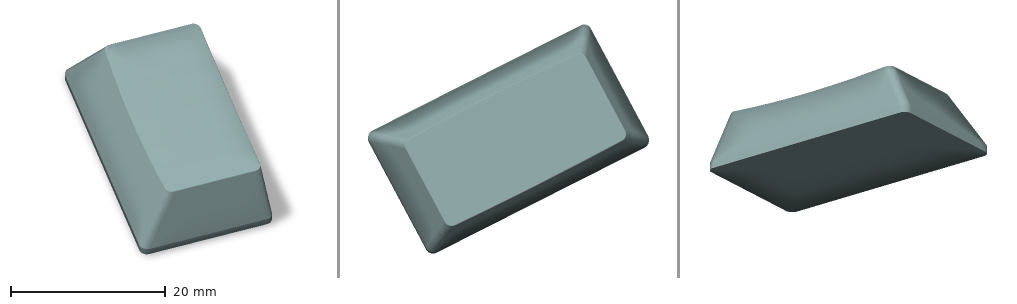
import cadquery as cq
import math

LENGTH = 32.29
WIDTH = 18.0
RIM_HEIGHT = 7.5

SKIRT_HEIGHT = 1.0
CORNER_RADIUS = 1.0

RIM_RADIUS = 0.1

SIDE_LEAN = 25.0
FRONT_LEAN = 35.0
BACK_LEAN = 5.0

DISH_RADIUS = 150.0

SIDE_SLOPE = math.tan(math.radians(SIDE_LEAN))
FRONT_SLOPE = math.tan(math.radians(FRONT_LEAN))
BACK_SLOPE = math.tan(math.radians(BACK_LEAN))


def wall_length(z):
    """X size of the sloping walls at height z."""
    return LENGTH - 2 * SIDE_SLOPE * (z - SKIRT_HEIGHT)


def wall_width(z):
    """Y size of the sloping walls at height z."""
    return WIDTH - (FRONT_SLOPE + BACK_SLOPE) * (z - SKIRT_HEIGHT)


def wall_center_y(z):
    """Y middle of the sloping walls at height z."""
    return (FRONT_SLOPE - BACK_SLOPE) * (z - SKIRT_HEIGHT) / 2


HALF_CHORD = wall_length(RIM_HEIGHT) / 2
DISH_AXIS_HEIGHT = RIM_HEIGHT + math.sqrt(DISH_RADIUS ** 2 - HALF_CHORD ** 2)


def skirt_prism():
    """Upright block with rounded corners that bounds the whole keycap."""
    block = cq.Workplane("XY").box(LENGTH, WIDTH, RIM_HEIGHT, centered=(True, True, False))
    return block.edges("|Z").fillet(CORNER_RADIUS)


def wall_section(z):
    """Sharp-cornered rectangle of the sloping walls at height z."""
    plane = cq.Workplane("XY", origin=(0, wall_center_y(z), z))
    return plane.rect(wall_length(z), wall_width(z)).wires().val()


def sloped_body():
    """Frustum whose walls cross the prism sides at skirt height, with rounded sloping corners."""
    sections = [wall_section(0), wall_section(RIM_HEIGHT)]
    frustum = cq.Workplane(cq.Solid.makeLoft(sections, True))
    return frustum.edges("not(#Z)").fillet(CORNER_RADIUS)


def dish():
    """Cylinder that scoops the top, meeting the upper side edges at full height."""
    return (
        cq.Workplane("XZ", origin=(0, 0, DISH_AXIS_HEIGHT))
        .circle(DISH_RADIUS)
        .extrude(WIDTH, both=True)
    )


def soften_rim(keycap):
    """Round every edge where the dished top meets the walls."""
    return keycap.faces(">Z").edges().fillet(RIM_RADIUS)


dished_keycap = sloped_body().intersect(skirt_prism()).cut(dish())
result = soften_rim(dished_keycap)